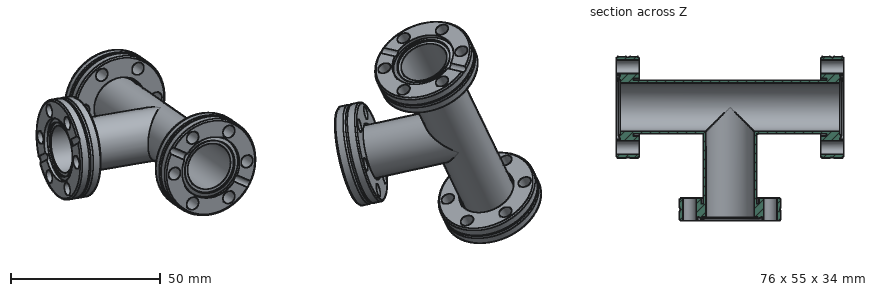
import cadquery as cq

run_length = 76.0
half_run = run_length / 2
branch_length = half_run

tube_diameter = 18.0
bore_diameter = 16.0
tube_radius = tube_diameter / 2
bore_radius = bore_diameter / 2

flange_diameter = 34.0
flange_thickness = 7.75
edge_chamfer = 0.5
flange_radius = flange_diameter / 2

rim_groove_width = 1.5
rim_groove_depth = 0.265

bolt_count = 6
bolt_circle_diameter = 27.0
bolt_hole_diameter = 4.4

recess_radius = 10.7
recess_depth = 1.3
knife_radius = 9.3
knife_depth = 0.7
seat_radius = 9.1
seat_depth = 1.3

tube_clearance = 0.6
tube_recess_depth = 2.0

leak_groove_width = 2.35
leak_groove_depth = 0.7
leak_groove_angle = 30.0


def cylinder_along_y(radius, y_start, y_end):
    """Solid cylinder on the Y axis between two Y positions."""
    return cq.Workplane("XZ", origin=(0, y_end, 0)).circle(radius).extrude(y_end - y_start)


def cylinder_along_x(radius, length):
    """Solid cylinder on the X axis, centred on the origin."""
    return cq.Workplane("YZ").circle(radius).extrude(length / 2, both=True)


def flange_body():
    """Revolved flange facing -Y, with its rim groove, knife-edge recess and tube clearance."""
    face = -branch_length
    back = face + flange_thickness
    middle = (face + back) / 2
    half_groove = rim_groove_width / 2
    tube_recess_radius = tube_radius + tube_clearance
    tube_recess_floor = back - tube_recess_depth
    return (
        cq.Workplane("XY")
        .moveTo(0, tube_recess_floor)
        .lineTo(tube_recess_radius, tube_recess_floor)
        .lineTo(tube_recess_radius, back)
        .lineTo(flange_radius - edge_chamfer, back)
        .lineTo(flange_radius, back - edge_chamfer)
        .lineTo(flange_radius, middle + half_groove)
        .lineTo(flange_radius - rim_groove_depth, middle)
        .lineTo(flange_radius, middle - half_groove)
        .lineTo(flange_radius, face + edge_chamfer)
        .lineTo(flange_radius - edge_chamfer, face)
        .lineTo(recess_radius, face)
        .lineTo(recess_radius, face + recess_depth)
        .lineTo(knife_radius, face + knife_depth)
        .lineTo(seat_radius, face + seat_depth)
        .lineTo(0, face + seat_depth)
        .close()
        .revolve(360, (0, 0, 0), (0, 1, 0))
    )


def bolt_holes():
    """Through holes on the bolt circle of the -Y flange."""
    return (
        cq.Workplane("XZ", origin=(0, -branch_length + flange_thickness, 0))
        .polarArray(bolt_circle_diameter / 2, 0, 360, bolt_count)
        .circle(bolt_hole_diameter / 2)
        .extrude(flange_thickness)
    )


def leak_groove():
    """Cylinder lying across the -Y flange face, sunk to the groove depth."""
    radius = (leak_groove_width**2 / 4 + leak_groove_depth**2) / (2 * leak_groove_depth)
    axis_y = -branch_length + leak_groove_depth - radius
    return (
        cq.Workplane("YZ", origin=(0, axis_y, 0))
        .circle(radius)
        .extrude(flange_radius + radius, both=True)
        .rotate((0, 0, 0), (0, 1, 0), -leak_groove_angle)
    )


branch_flange = flange_body().cut(bolt_holes()).cut(leak_groove())
left_flange = branch_flange.rotate((0, 0, 0), (0, 0, 1), -90)
right_flange = left_flange.mirror("YZ")

run_tube = cylinder_along_x(tube_radius, run_length - flange_thickness)
branch_tube = cylinder_along_y(tube_radius, -branch_length + flange_thickness / 2, 0)
run_bore = cylinder_along_x(bore_radius, run_length)
branch_bore = cylinder_along_y(bore_radius, -branch_length, 0)

result = (
    run_tube.union(branch_tube)
    .union(left_flange)
    .union(right_flange)
    .union(branch_flange)
    .cut(run_bore)
    .cut(branch_bore)
)